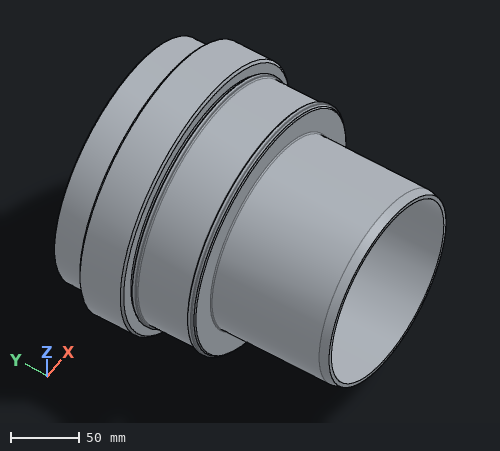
import cadquery as cq
import math

total_length = 226.0
bore_diameter = 149.6
spigot_diameter = 160.0
body_diameter = 202.0
bead_diameter = 206.0
collar_diameter = 225.0

body_length = 124.0
body_edge_chamfer = 1.0
spigot_root_fillet = 1.0
spigot_chamfer_length = 7.4
spigot_chamfer_depth = 2.0

collar_start = 29.2
collar_width = 38.5
collar_chamfer_length = 1.7
collar_chamfer_depth = 2.0
bead_centers = (71.5, 120.0)
bead_width = 3.2
bead_crest_fillet = 0.5
bead_root_fillet = 1.0

back_y = total_length / 2
front_y = back_y - total_length
body_front_y = back_y - body_length
overlap = 5.0
arc_midpoint = 1 - math.sqrt(0.5)


def turn(outline):
    """Turn a closed (radius, y) outline about the Y axis."""
    return outline.revolve(360, (0, 0, 0), (0, 1, 0))


def turn_polygon(points):
    """Turn a straight-sided (radius, y) outline about the Y axis."""
    return turn(cq.Workplane("XY").polyline(points).close())


def cylinder(diameter, length):
    """Plain cylinder reaching forward from the back end."""
    radius = diameter / 2
    return turn_polygon([
        (0, back_y),
        (radius, back_y),
        (radius, back_y - length),
        (0, back_y - length),
    ])


def body():
    """Large cylinder with a chamfered edge at both ends."""
    return cylinder(body_diameter, body_length).edges("%CIRCLE").chamfer(body_edge_chamfer)


def spigot():
    """Pipe end with a root fillet at the body and a long lead-in chamfer at the front."""
    radius = spigot_diameter / 2
    fillet = spigot_root_fillet
    inset = fillet * arc_midpoint
    outline = (
        cq.Workplane("XY")
        .moveTo(0, body_front_y + overlap)
        .lineTo(radius + fillet, body_front_y + overlap)
        .lineTo(radius + fillet, body_front_y)
        .threePointArc((radius + inset, body_front_y - inset), (radius, body_front_y - fillet))
        .lineTo(radius, front_y + spigot_chamfer_length)
        .lineTo(radius - spigot_chamfer_depth, front_y)
        .lineTo(0, front_y)
        .close()
    )
    return turn(outline)


def collar():
    """Widest ring, with both outer edges chamfered."""
    start_y = back_y - collar_start
    end_y = start_y - collar_width
    outer = collar_diameter / 2
    shoulder = outer - collar_chamfer_depth
    root = body_diameter / 2 - overlap
    return turn_polygon([
        (root, start_y),
        (shoulder, start_y),
        (outer, start_y - collar_chamfer_length),
        (outer, end_y + collar_chamfer_length),
        (shoulder, end_y),
        (root, end_y),
    ])


def bead(center):
    """Low ring with rounded crest edges and concave fillets down to the body surface."""
    center_y = back_y - center
    surface = body_diameter / 2
    crest = bead_diameter / 2
    root = surface - overlap
    side = bead_width / 2
    base = side + bead_root_fillet
    flat = side - bead_crest_fillet
    root_inset = bead_root_fillet * arc_midpoint
    crest_inset = bead_crest_fillet * arc_midpoint
    outline = (
        cq.Workplane("XY")
        .moveTo(root, center_y + base)
        .lineTo(surface, center_y + base)
        .threePointArc(
            (surface + root_inset, center_y + side + root_inset),
            (surface + bead_root_fillet, center_y + side),
        )
        .lineTo(crest - bead_crest_fillet, center_y + side)
        .threePointArc((crest - crest_inset, center_y + side - crest_inset), (crest, center_y + flat))
        .lineTo(crest, center_y - flat)
        .threePointArc(
            (crest - crest_inset, center_y - side + crest_inset),
            (crest - bead_crest_fillet, center_y - side),
        )
        .lineTo(surface + bead_root_fillet, center_y - side)
        .threePointArc(
            (surface + root_inset, center_y - side - root_inset),
            (surface, center_y - base),
        )
        .lineTo(root, center_y - base)
        .close()
    )
    return turn(outline)


result = body().union(spigot()).union(collar())
for bead_center in bead_centers:
    result = result.union(bead(bead_center))

result = result.cut(cylinder(bore_diameter, total_length))